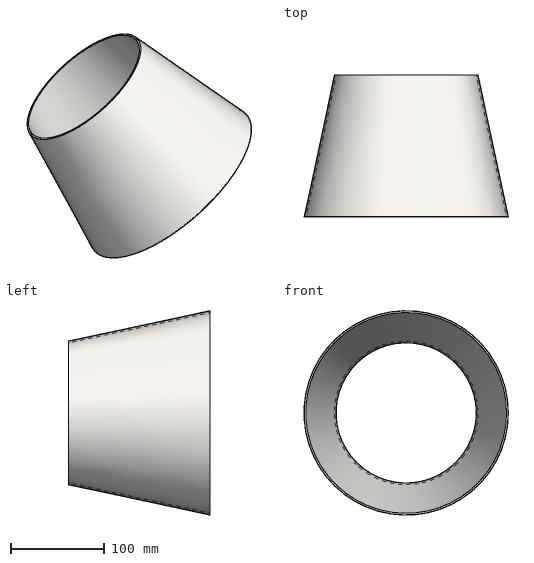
import cadquery as cq

length = 152.0
wide_diameter = 219.0
narrow_diameter = 154.0
wall = 2.0

wide_radius = wide_diameter / 2
narrow_radius = narrow_diameter / 2

wall_section = (
    cq.Workplane("XY")
    .moveTo(wide_radius - wall, 0)
    .lineTo(wide_radius, 0)
    .lineTo(narrow_radius, length)
    .lineTo(narrow_radius - wall, length)
    .close()
)

result = wall_section.revolve(360, (0, 0, 0), (0, 1, 0))